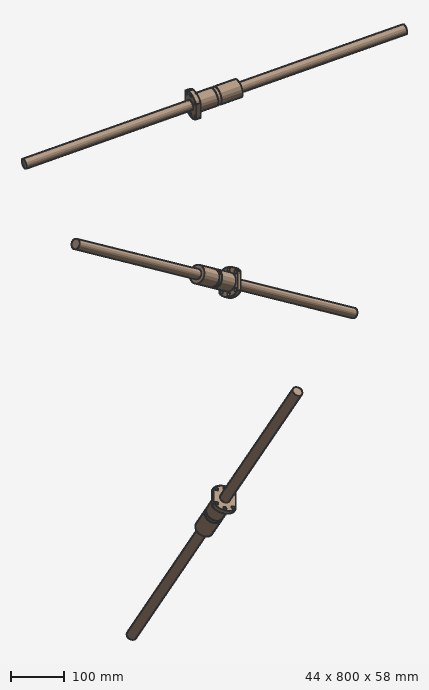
import cadquery as cq
import math

shaft_length = 800.0
shaft_diameter = 20.0

nut_length = 100.0
nut_diameter = 36.0
nut_front_y = -nut_length / 2

groove_width = 7.0
groove_depth = 1.0
groove_center_y = 2.0
groove_diameter = nut_diameter - 2 * groove_depth

flange_diameter = 58.0
flange_width = 44.0
flange_thickness = 10.0

bolt_circle_diameter = 47.0
bolt_hole_diameter = 6.6
bolt_hole_spacing = 45
bolt_hole_angles = [
    side + step * bolt_hole_spacing for side in (90, 270) for step in (-1, 0, 1)
]

oil_hole_diameter = 5.0
oil_hole_angle = 90 + bolt_hole_spacing / 2


def cylinder_along_y(diameter, start_y, length):
    """Cylinder on the Y axis, from start_y toward +Y."""
    return cq.Workplane(
        cq.Solid.makeCylinder(
            diameter / 2, length, cq.Vector(0, start_y, 0), cq.Vector(0, 1, 0)
        )
    )


def make_shaft():
    return cylinder_along_y(shaft_diameter, -shaft_length / 2, shaft_length)


def make_barrel():
    barrel = cylinder_along_y(nut_diameter, nut_front_y, nut_length)
    groove_start_y = groove_center_y - groove_width / 2
    groove = cylinder_along_y(nut_diameter, groove_start_y, groove_width).cut(
        cylinder_along_y(groove_diameter, groove_start_y, groove_width)
    )
    return barrel.cut(groove)


def make_flange():
    disc = cylinder_along_y(flange_diameter, nut_front_y, flange_thickness)
    flats = cq.Workplane().box(flange_width, 2 * nut_length, flange_diameter)
    flange = disc.intersect(flats)
    for angle in bolt_hole_angles:
        x = bolt_circle_diameter / 2 * math.cos(math.radians(angle))
        z = bolt_circle_diameter / 2 * math.sin(math.radians(angle))
        hole = cylinder_along_y(bolt_hole_diameter, nut_front_y, flange_thickness)
        flange = flange.cut(hole.translate((x, 0, z)))
    return flange


def make_oil_hole():
    """Radial hole from the flange rim to the shaft bore."""
    direction = cq.Vector(
        math.cos(math.radians(oil_hole_angle)), 0, math.sin(math.radians(oil_hole_angle))
    )
    start = cq.Vector(0, nut_front_y + flange_thickness / 2, 0)
    return cq.Workplane(
        cq.Solid.makeCylinder(oil_hole_diameter / 2, flange_diameter / 2, start, direction)
    )


def make_nut():
    bore = cylinder_along_y(shaft_diameter, nut_front_y, nut_length)
    return make_barrel().union(make_flange()).cut(bore).cut(make_oil_hole())


shaft = make_shaft()
nut = make_nut()

result = cq.Compound.makeCompound([shaft.val(), nut.val()])